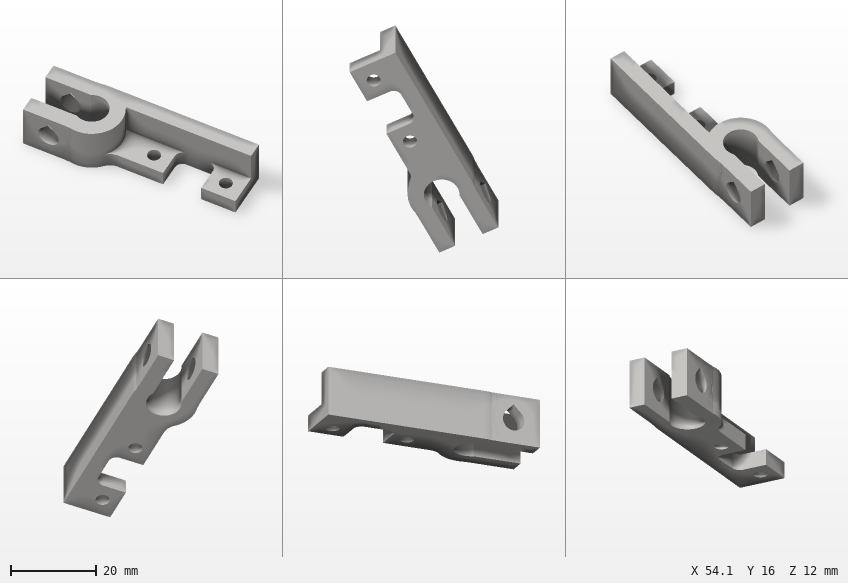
import cadquery as cq
import math

length = 54.15
height = 12.0
ring_diameter = 16.0
ring_radius = ring_diameter / 2

ring_x = 14.15
bore_radius = 4.15

arm_half_width = 7.8
slot_half_width = 3.65
pivot_x = 6.7
pivot_z = height / 2
pivot_radius = 2.7

relief_half_width = 7.75
relief_end_x = 11.25
relief_radius = 5.45

wall_thickness = ring_radius / 2
wall_inner_y = ring_radius - wall_thickness
flange_thickness = 4.0
flange_edge_y = -wall_inner_y
blend_radius = 4.0

notch_start_x = 35.05
notch_end_x = 45.1
notch_corner_radius = 2.0
screw_diameter = 3.3
screw_positions = [(30.6, 0), (49.55, 0)]


def box(x_start, x_end, y_start, y_end, z_end):
    """Box standing on Z = 0 between the given limits."""
    size = (x_end - x_start, y_end - y_start, z_end)
    return cq.Workplane("XY").box(*size, centered=False).translate((x_start, y_start, 0))


def make_fork():
    ring = cq.Workplane("XY").center(ring_x, 0).circle(ring_radius).extrude(height)
    arms = box(0, ring_x, -arm_half_width, arm_half_width, height)
    return ring.union(arms)


def make_flange():
    """Base flange with a tangent blend into the outside of the ring."""
    blend_center_y = flange_edge_y - blend_radius
    center_distance = ring_radius + blend_radius
    blend_offset_x = math.sqrt(center_distance**2 - blend_center_y**2)
    blend_end_x = ring_x + blend_offset_x
    ring_share = ring_radius / center_distance
    blend_start = (ring_x + blend_offset_x * ring_share, blend_center_y * ring_share)
    flange = (
        cq.Workplane("XY")
        .moveTo(ring_x, wall_inner_y)
        .lineTo(length, wall_inner_y)
        .lineTo(length, flange_edge_y)
        .lineTo(blend_end_x, flange_edge_y)
        .radiusArc(blend_start, -blend_radius)
        .lineTo(ring_x, blend_start[1])
        .close()
        .extrude(flange_thickness)
    )
    notch = box(notch_start_x, notch_end_x, flange_edge_y, wall_inner_y, flange_thickness)
    notch = notch.edges("|Z and >Y").fillet(notch_corner_radius)
    screws = (
        cq.Workplane("XY")
        .pushPoints(screw_positions)
        .circle(screw_diameter / 2)
        .extrude(flange_thickness)
    )
    return flange.cut(notch).cut(screws)


def make_fork_opening():
    bore = cq.Workplane("XY").center(ring_x, 0).circle(bore_radius).extrude(height)
    slot = box(0, ring_x, -slot_half_width, slot_half_width, height)
    return bore.union(slot)


def make_pivot_hole():
    """Teardrop hole along Y, with a 90 degree peak on top."""
    tangent_offset = pivot_radius / math.sqrt(2)
    peak_height = pivot_radius * math.sqrt(2)
    return (
        cq.Workplane("XZ", origin=(pivot_x, 0, pivot_z))
        .moveTo(-tangent_offset, tangent_offset)
        .lineTo(0, peak_height)
        .lineTo(tangent_offset, tangent_offset)
        .threePointArc((0, -pivot_radius), (-tangent_offset, tangent_offset))
        .close()
        .extrude(ring_radius, both=True)
    )


def make_arm_relief():
    """Material to remove outside the flat arm faces, around the pivot."""
    block = box(0, relief_end_x, -ring_radius, ring_radius, height)
    disc = (
        cq.Workplane("XZ", origin=(pivot_x, 0, pivot_z))
        .circle(relief_radius)
        .extrude(ring_radius, both=True)
    )
    kept_core = box(0, ring_x, -relief_half_width, relief_half_width, height)
    return block.union(disc).cut(kept_core)


wall = box(ring_x, length, wall_inner_y, ring_radius, height)
result = (
    make_fork()
    .union(wall)
    .union(make_flange())
    .cut(make_fork_opening())
    .cut(make_pivot_hole())
    .cut(make_arm_relief())
)